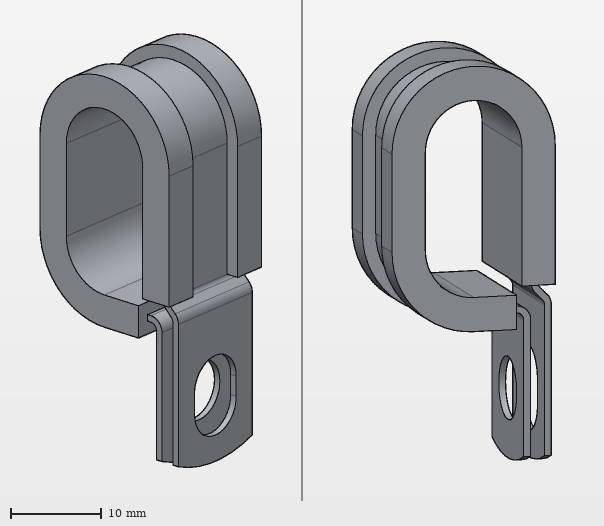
import cadquery as cq
import math


outer_radius = 9.42
wall = 3.86
bend_spacing = 11.06
cushion_width = 15.75
right_leg_end_z = -15.63
foot_end_x = 4.95
inner_radius = outer_radius - wall
lower_bend_z = -bend_spacing

groove_width = 7.6
groove_depth = 1.53
strap_outer_radius = outer_radius - groove_depth

strap_thickness = 0.8
strap_width = 12.6
bend_inner_radius = 0.8
bend_outer_radius = bend_inner_radius + strap_thickness
bend_mid_radius = bend_inner_radius + strap_thickness / 2
jog_angle = math.radians(45)
strap_mid_radius = strap_outer_radius - strap_thickness / 2
outer_tab_x = outer_radius - strap_thickness / 2
inner_tab_x = 6.63
overall_height = 45.83
tab_tip_z = outer_radius - overall_height
tab_arc_rise = 1.26
hole_diameter = 7.1
slot_length = 9.5
hole_z = -28.52


def loop_band(radius_out, radius_in, width):
    """Open J-shaped loop between two radii, centred on Y = 0."""
    return (
        cq.Workplane("XZ")
        .moveTo(radius_out, right_leg_end_z)
        .lineTo(radius_out, 0)
        .threePointArc((0, radius_out), (-radius_out, 0))
        .lineTo(-radius_out, lower_bend_z)
        .radiusArc((0, lower_bend_z - radius_out), -radius_out)
        .lineTo(foot_end_x, lower_bend_z - radius_out)
        .lineTo(foot_end_x, lower_bend_z - radius_in)
        .lineTo(0, lower_bend_z - radius_in)
        .radiusArc((-radius_in, lower_bend_z), radius_in)
        .lineTo(-radius_in, 0)
        .threePointArc((0, radius_in), (radius_in, 0))
        .lineTo(radius_in, right_leg_end_z)
        .close()
        .extrude(width / 2, both=True)
    )


def make_cushion():
    """Full-width loop with the groove cut down to the strap's outer face."""
    groove = loop_band(outer_radius, strap_outer_radius, groove_width)
    return loop_band(outer_radius, inner_radius, cushion_width).cut(groove)


def make_outer_tab():
    """Tab below the right leg, jogged outwards by two opposite bends."""
    half = strap_thickness / 2
    shift = outer_tab_x - strap_mid_radius
    bend_dx = bend_mid_radius * (1 - math.cos(jog_angle))
    bend_dz = bend_mid_radius * math.sin(jog_angle)
    jog_height = 2 * bend_dz + (shift - 2 * bend_dx) / math.tan(jog_angle)
    jog_end_z = right_leg_end_z - jog_height
    upper_centre = strap_mid_radius + bend_mid_radius
    lower_centre = outer_tab_x - bend_mid_radius
    cos_jog = math.cos(jog_angle)
    sin_jog = math.sin(jog_angle)

    def upper(radius):
        return (upper_centre - radius * cos_jog, right_leg_end_z - radius * sin_jog)

    def lower(radius):
        return (lower_centre + radius * cos_jog, jog_end_z + radius * sin_jog)

    return (
        cq.Workplane("XZ")
        .moveTo(strap_mid_radius + half, right_leg_end_z)
        .radiusArc(upper(bend_inner_radius), -bend_inner_radius)
        .lineTo(*lower(bend_outer_radius))
        .radiusArc((outer_tab_x + half, jog_end_z), bend_outer_radius)
        .lineTo(outer_tab_x + half, tab_tip_z)
        .lineTo(outer_tab_x - half, tab_tip_z)
        .lineTo(outer_tab_x - half, jog_end_z)
        .radiusArc(lower(bend_inner_radius), -bend_inner_radius)
        .lineTo(*upper(bend_outer_radius))
        .radiusArc((strap_mid_radius - half, right_leg_end_z), bend_outer_radius)
        .close()
        .extrude(strap_width / 2, both=True)
    )


def make_inner_tab():
    """Tab turned down at a right angle from the end of the bottom leg."""
    half = strap_thickness / 2
    leg_mid_z = lower_bend_z - strap_mid_radius
    bend_x = inner_tab_x - bend_mid_radius
    bend_z = leg_mid_z - bend_mid_radius
    return (
        cq.Workplane("XZ")
        .moveTo(foot_end_x, leg_mid_z + half)
        .lineTo(bend_x, leg_mid_z + half)
        .radiusArc((inner_tab_x + half, bend_z), bend_outer_radius)
        .lineTo(inner_tab_x + half, tab_tip_z)
        .lineTo(inner_tab_x - half, tab_tip_z)
        .lineTo(inner_tab_x - half, bend_z)
        .radiusArc((bend_x, leg_mid_z - half), -bend_inner_radius)
        .lineTo(foot_end_x, leg_mid_z - half)
        .close()
        .extrude(strap_width / 2, both=True)
    )


def make_tab_outline():
    """Block along X whose lower edge is the rounded end of the tabs."""
    half_width = strap_width / 2
    side_end_z = tab_tip_z + tab_arc_rise
    return (
        cq.Workplane("YZ")
        .moveTo(-half_width, 0)
        .lineTo(-half_width, side_end_z)
        .threePointArc((0, tab_tip_z), (half_width, side_end_z))
        .lineTo(half_width, 0)
        .close()
        .extrude(outer_radius)
    )


round_hole = cq.Workplane("YZ").center(0, hole_z).circle(hole_diameter / 2).extrude(outer_radius)
slot = (
    cq.Workplane("YZ")
    .center(0, hole_z)
    .slot2D(slot_length, hole_diameter, 90)
    .extrude(outer_radius)
)
outer_tab = make_outer_tab().intersect(make_tab_outline()).cut(slot)
inner_tab = make_inner_tab().intersect(make_tab_outline()).cut(round_hole)
result = make_cushion().union(outer_tab).union(inner_tab)